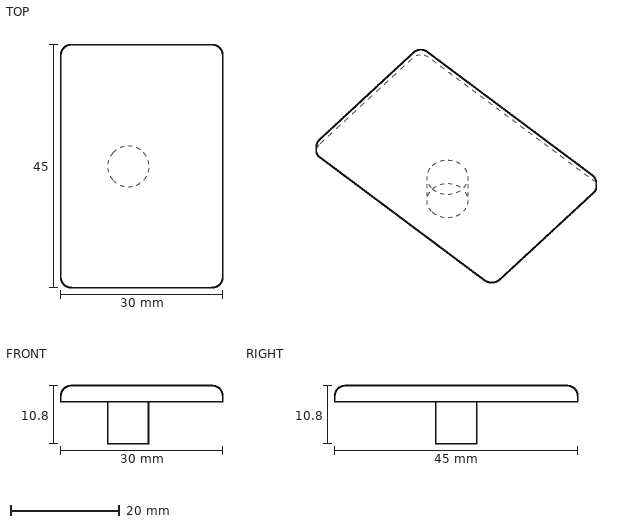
import cadquery as cq

plate_width = 30.0
plate_length = 45.0
plate_thickness = 3.0
edge_radius = 2.0

total_height = 10.8
peg_diameter = 7.6
peg_length = total_height - plate_thickness
peg_offset_x = -2.5


def make_plate():
    """Rectangular plate with rounded corners and a rounded top rim."""
    block = cq.Workplane("XY").box(
        plate_width, plate_length, plate_thickness, centered=(True, True, False)
    )
    return block.edges("|Z or >Z").fillet(edge_radius)


def make_peg():
    """Solid cylinder hanging from the underside of the plate."""
    return cq.Workplane("XY").center(peg_offset_x, 0).circle(peg_diameter / 2).extrude(-peg_length)


result = make_plate().union(make_peg())